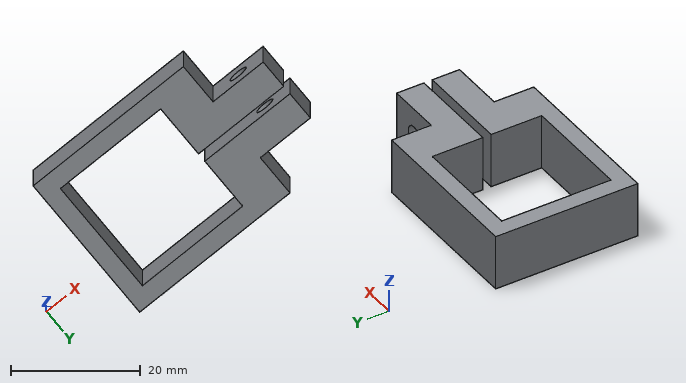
import cadquery as cq

frame_length = 30.0
frame_width = 26.0
height = 10.0
wall = 3.0
window_side = frame_width - 2 * wall

overall_length = 40.0
ear_length = overall_length - frame_length
ear_thickness = 5.0
slot_width = 1.5
ears_width = 2 * ear_thickness + slot_width

hole_diameter = 3.2
hole_x = frame_length + ear_length / 2


def block(x_start, length, width):
    """Full-height block starting at x_start and centred on Y and Z."""
    solid = cq.Workplane("XY").box(length, width, height, centered=(False, True, True))
    return solid.translate((x_start, 0, 0))


frame = block(0, frame_length, frame_width)
ears = block(frame_length, ear_length, ears_width)
window = block(wall, window_side, window_side)
slot = block(wall + window_side, overall_length - wall - window_side, slot_width)

screw_hole = (
    cq.Workplane("XZ")
    .center(hole_x, 0)
    .circle(hole_diameter / 2)
    .extrude(ears_width / 2, both=True)
)

result = frame.union(ears).cut(window).cut(slot).cut(screw_hole)